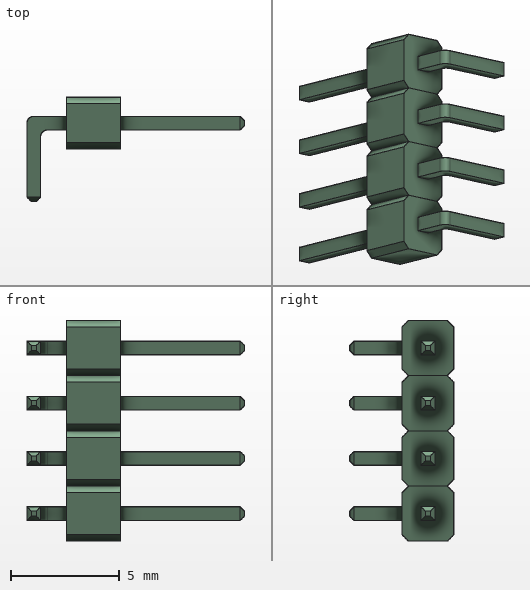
import cadquery as cq


position_count = 4
pitch = 2.54

block_length = 2.5
block_depth = 2.4
block_chamfer = 0.3

pin_width = pitch / 4
pin_span = 10.02
overall_depth = 4.81
block_offset = 1.82
half_pin = pin_width / 2
bend_radius = half_pin
tip_length = 0.2
tip_inset = 0.2

leg_end = block_depth / 2 - overall_depth


def make_block(center_z):
    """Block with its four edges along X chamfered."""
    return (
        cq.Workplane("XY")
        .box(block_length, block_depth, pitch)
        .edges("|X")
        .chamfer(block_chamfer)
        .translate((block_offset + block_length / 2, 0, center_z))
    )


def make_bent_bar(center_z):
    """L-shaped square bar with a rounded bend, without its tapered tips."""
    bar_end = pin_span - tip_length
    leg_base = leg_end + tip_length
    return (
        cq.Workplane("XY", origin=(0, 0, center_z))
        .moveTo(0, leg_base)
        .lineTo(0, half_pin - bend_radius)
        .radiusArc((bend_radius, half_pin), bend_radius)
        .lineTo(bar_end, half_pin)
        .lineTo(bar_end, -half_pin)
        .lineTo(pin_width + bend_radius, -half_pin)
        .radiusArc((pin_width, -half_pin - bend_radius), -bend_radius)
        .lineTo(pin_width, leg_base)
        .close()
        .extrude(half_pin, both=True)
    )


def make_tip(base_center, direction):
    """Truncated pyramid that grows from the end of the bar."""
    tip_width = pin_width - 2 * tip_inset
    base_plane = cq.Plane(origin=base_center, xDir=(0, 0, 1), normal=direction)
    return (
        cq.Workplane(base_plane)
        .rect(pin_width, pin_width)
        .workplane(offset=tip_length)
        .rect(tip_width, tip_width)
        .loft(ruled=True)
    )


def make_position(center_z):
    """One header position: block, bent bar and both tips as one solid."""
    long_tip = make_tip((pin_span - tip_length, 0, center_z), (1, 0, 0))
    leg_tip = make_tip((half_pin, leg_end + tip_length, center_z), (0, -1, 0))
    bent_pin = make_bent_bar(center_z).union(long_tip).union(leg_tip)
    return make_block(center_z).union(bent_pin)


positions = []
for index in range(position_count):
    position = make_position((index + 0.5) * pitch)
    positions.append(position.val())

result = cq.Compound.makeCompound(positions)